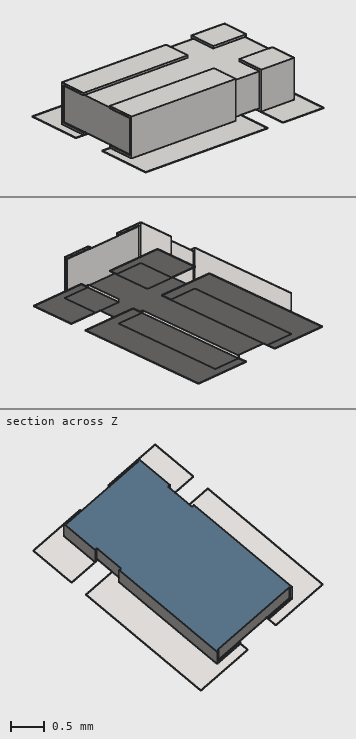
import cadquery as cq

body_width = 1.52
body_length = 3.16

wall = 0.04
wrap_reach = 0.5
terminal_end_overhang = 0.02
long_terminal_length = 2.05
short_terminal_length = 0.65

pad_thickness = 0.01
pad_width = 1.0
pad_end_margin = 0.15
long_pad_length = 2.4
short_pad_length = 0.8

total_height = 0.7

terminal_half_width = body_width / 2 + wall
terminal_half_length = body_length / 2 + terminal_end_overhang
pad_half_length = terminal_half_length + pad_end_margin
inner_edge = terminal_half_width - wrap_reach
terminal_bottom = pad_thickness
body_bottom = terminal_bottom + wall
body_top = total_height - wall


def block(x_range, y_range, z_range):
    """Box spanning the given (low, high) range along each axis."""
    sizes = [high - low for low, high in (x_range, y_range, z_range)]
    corner = (x_range[0], y_range[0], z_range[0])
    return cq.Workplane("XY").box(*sizes, centered=False).translate(corner)


def make_body():
    return block(
        (-body_width / 2, body_width / 2),
        (-body_length / 2, body_length / 2),
        (body_bottom, body_top),
    )


def make_terminal(y_range):
    """C-shaped band on the +X side, open towards the middle of the part."""
    outer = block((inner_edge, terminal_half_width), y_range, (terminal_bottom, total_height))
    opening = block((inner_edge, body_width / 2), y_range, (body_bottom, body_top))
    return outer.cut(opening)


def make_pad(y_range):
    """Thin sheet under a +X terminal, flush with its inner edge."""
    return block((inner_edge, inner_edge + pad_width), y_range, (0, pad_thickness))


def make_side():
    """Terminals and pads of the +X side: long pair at -Y, short pair at +Y."""
    long_terminal = make_terminal((-terminal_half_length, -terminal_half_length + long_terminal_length))
    short_terminal = make_terminal((terminal_half_length - short_terminal_length, terminal_half_length))
    long_pad = make_pad((-pad_half_length, -pad_half_length + long_pad_length))
    short_pad = make_pad((pad_half_length - short_pad_length, pad_half_length))
    return long_terminal.union(short_terminal).union(long_pad).union(short_pad)


side = make_side()
result = make_body().union(side).union(side.mirror("YZ"))